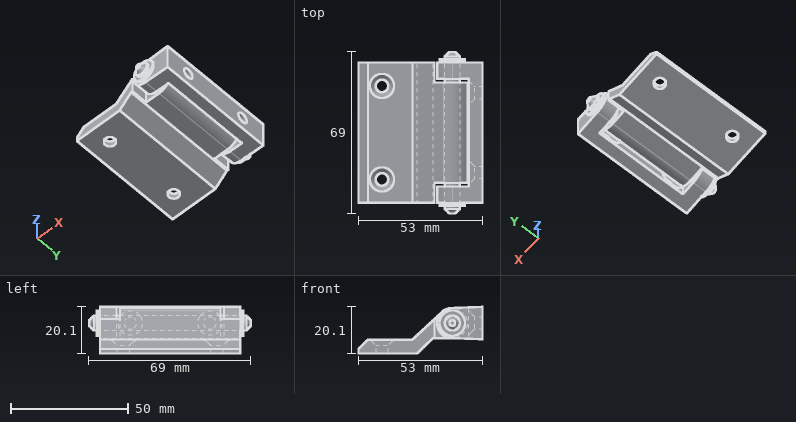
import cadquery as cq
import math


width = 59.9
barrel_radius = 6.5
pin_radius = 3.25
screw_radius = 2.6
countersink_radius = 5.2
countersink_depth = countersink_radius - screw_radius

leaf_left = -40.0
leaf_bottom = -13.05
leaf_thickness = 6.0
leaf_top = leaf_bottom + leaf_thickness
edge_chamfer = 4.0
crank_top_start = -17.05
crank_top_end = -3.8
crank_bottom_start = -15.05
crank_bottom_end = -8.3
knuckle_length = 42.9
notch_left = -7.5
leaf_screw_x = -30.0
leaf_screw_offset = 19.95

yoke_right = 13.0
yoke_half_height = 7.0
yoke_wall_left = 7.0
yoke_gap = 45.8
yoke_screw_offset = 17.0

pin_length = 69.0
tip_radius = 1.25
tip_length = pin_radius - tip_radius
ring_radius = 5.45
ring_inner_y = 30.6
ring_outer_y = 31.3
groove_inner_y = 30.4
groove_radius = 2.75


def screw_cutter(length):
    """Countersunk hole from the origin along +X, with the wide end at the origin."""
    return (
        cq.Workplane("XY")
        .lineTo(0, countersink_radius)
        .lineTo(countersink_depth, screw_radius)
        .lineTo(length, screw_radius)
        .lineTo(length, 0)
        .close()
        .revolve(360, (0, 0), (1, 0))
    )


def pin_bore():
    return cq.Workplane("XZ").circle(pin_radius).extrude(width / 2, both=True)


def make_cranked_leaf():
    crank_top_z = math.sqrt(barrel_radius**2 - crank_top_end**2)
    leaf = (
        cq.Workplane("XZ")
        .moveTo(leaf_left, leaf_bottom)
        .lineTo(crank_bottom_start, leaf_bottom)
        .lineTo(crank_bottom_end, -barrel_radius)
        .lineTo(0, -barrel_radius)
        .threePointArc((barrel_radius, 0), (crank_top_end, crank_top_z))
        .lineTo(crank_top_start, leaf_top)
        .lineTo(leaf_left + edge_chamfer, leaf_top)
        .lineTo(leaf_left, leaf_top - edge_chamfer)
        .close()
        .extrude(width / 2, both=True)
    )

    notch_width = (width - knuckle_length) / 2
    notch_length = barrel_radius - notch_left
    for side in (-1, 1):
        notch = cq.Workplane("XY").box(notch_length, notch_width, 2 * barrel_radius)
        notch_y = side * (knuckle_length + notch_width) / 2
        leaf = leaf.cut(notch.translate((notch_left + notch_length / 2, notch_y, 0)))

    for side in (-1, 1):
        cutter = screw_cutter(leaf_thickness).rotate((0, 0, 0), (0, 1, 0), 90)
        leaf = leaf.cut(cutter.translate((leaf_screw_x, side * leaf_screw_offset, leaf_top)))

    return leaf.cut(pin_bore())


def make_yoke_leaf():
    yoke = (
        cq.Workplane("XZ")
        .moveTo(0, barrel_radius)
        .lineTo(yoke_right, yoke_half_height)
        .lineTo(yoke_right, -yoke_half_height)
        .lineTo(0, -barrel_radius)
        .threePointArc((-barrel_radius, 0), (0, barrel_radius))
        .close()
        .extrude(width / 2, both=True)
    )

    opening_length = yoke_wall_left + barrel_radius
    opening = cq.Workplane("XY").box(opening_length, yoke_gap, 2 * yoke_half_height)
    yoke = yoke.cut(opening.translate((yoke_wall_left - opening_length / 2, 0, 0)))

    for side in (-1, 1):
        cutter = screw_cutter(yoke_right - yoke_wall_left)
        yoke = yoke.cut(cutter.translate((yoke_wall_left, side * yoke_screw_offset, 0)))

    return yoke.cut(pin_bore())


def make_pin():
    """Pin with conical tips and a retaining ring at each end."""
    half_pin = (
        cq.Workplane("XY")
        .lineTo(pin_radius, 0)
        .lineTo(pin_radius, groove_inner_y)
        .lineTo(groove_radius, groove_inner_y)
        .lineTo(groove_radius, ring_inner_y)
        .lineTo(ring_radius, ring_inner_y)
        .lineTo(ring_radius, ring_outer_y)
        .lineTo(pin_radius, ring_outer_y)
        .lineTo(pin_radius, pin_length / 2 - tip_length)
        .lineTo(tip_radius, pin_length / 2)
        .lineTo(0, pin_length / 2)
        .close()
        .revolve(360, (0, 0), (0, 1))
    )
    return half_pin.union(half_pin.mirror("XZ")).clean()


cranked_leaf = make_cranked_leaf()
yoke_leaf = make_yoke_leaf()
pin = make_pin()

result = cq.Compound.makeCompound([cranked_leaf.val(), yoke_leaf.val(), pin.val()])